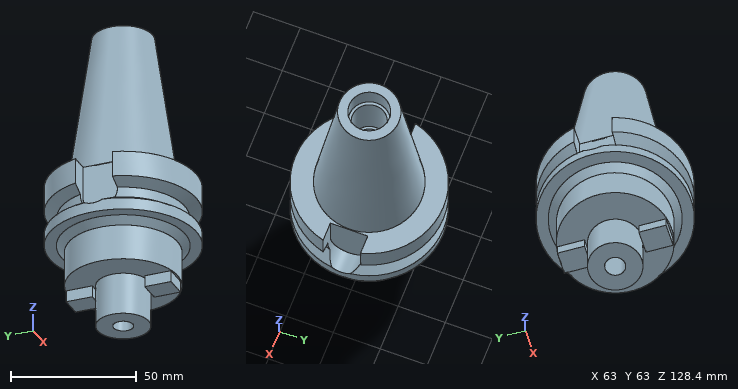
import cadquery as cq

total_height = 128.4
tenon_bottom = 13.1
body_bottom = 18.0
body_top = 33.1
flange_bottom = 36.1
lower_rim_top = 41.1
groove_bottom = 44.2
groove_top = 48.5
upper_rim_bottom = 51.1
flange_top = 62.0
taper_start = 62.7

pilot_diameter = 22.1
body_diameter = 46.9
flange_neck_diameter = 53.3
flange_diameter = 63.0
groove_diameter = 53.0
taper_large_diameter = 44.4
taper_ratio = 7 / 24

through_bore_diameter = 8.3
bore_steps = [(17.0, 9.1), (14.4, 29.5), (12.1, 45.0)]

slot_width = 15.9
slot_depth = 22.0
slot_floor_distance = 22.5

tenon_width = 9.8
tenon_inner_distance = 11.3
tenon_outer_distance = 22.6


def turned_body():
    """Revolve the pilot, body, grooved flange and taper about Z."""
    taper_small_diameter = taper_large_diameter - taper_ratio * (total_height - taper_start)
    outline = [
        (pilot_diameter / 2, 0),
        (pilot_diameter / 2, body_bottom),
        (body_diameter / 2, body_bottom),
        (body_diameter / 2, body_top),
        (flange_neck_diameter / 2, flange_bottom),
        (flange_diameter / 2, flange_bottom),
        (flange_diameter / 2, lower_rim_top),
        (groove_diameter / 2, groove_bottom),
        (groove_diameter / 2, groove_top),
        (flange_diameter / 2, upper_rim_bottom),
        (flange_diameter / 2, flange_top),
        (taper_large_diameter / 2, flange_top),
        (taper_large_diameter / 2, taper_start),
        (taper_small_diameter / 2, total_height),
        (0, total_height),
    ]
    profile = cq.Workplane("YZ").moveTo(0, 0)
    for radius, height in outline:
        profile = profile.lineTo(radius, height)
    return profile.close().revolve(360, (0, 0, 0), (0, 1, 0))


def bore():
    """Through bore with coaxial steps opening at the small end of the taper."""
    cutter = cq.Workplane("XY").circle(through_bore_diameter / 2).extrude(total_height)
    for diameter, depth in bore_steps:
        step = cq.Workplane("XY").workplane(offset=total_height - depth)
        cutter = cutter.union(step.circle(diameter / 2).extrude(depth))
    return cutter


def drive_slot(side):
    """Slot with a half-round lower end, open at the flange top and rim."""
    slot_radius = slot_width / 2
    slot_bottom = flange_top - slot_depth
    arc_height = slot_bottom + slot_radius
    cut_length = flange_diameter / 2
    return (
        cq.Workplane("YZ")
        .workplane(offset=side * slot_floor_distance)
        .moveTo(-slot_radius, flange_top)
        .lineTo(-slot_radius, arc_height)
        .threePointArc((0, slot_bottom), (slot_radius, arc_height))
        .lineTo(slot_radius, flange_top)
        .close()
        .extrude(side * cut_length)
    )


def drive_tenon(side):
    """Rectangular key standing below the body beside the pilot."""
    tenon_length = tenon_outer_distance - tenon_inner_distance
    tenon_center = (tenon_inner_distance + tenon_outer_distance) / 2
    return (
        cq.Workplane("XY")
        .workplane(offset=tenon_bottom)
        .center(0, side * tenon_center)
        .rect(tenon_width, tenon_length)
        .extrude(body_bottom - tenon_bottom)
    )


result = turned_body().cut(bore())
for side in (-1, 1):
    result = result.cut(drive_slot(side)).union(drive_tenon(side))